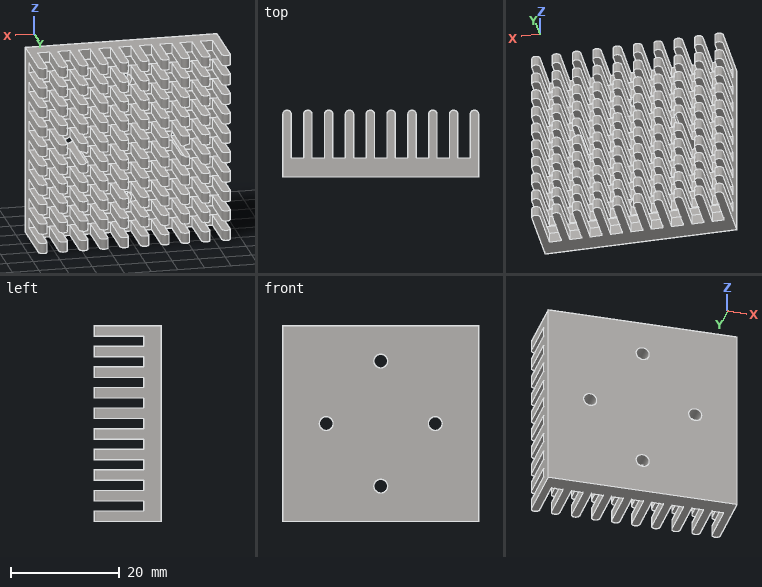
import cadquery as cq

side = 36.0
depth = 12.3

pins_per_side = 10
pin_width_x = 1.6
pin_width_z = 1.98
plate_at_x_gaps = 3.53
plate_at_z_gaps = 3.25

hole_diameter = 2.5
hole_offset_x = 10.0
hole_offset_z = 11.5

pitch_x = (side - pin_width_x) / (pins_per_side - 1)
pitch_z = (side - pin_width_z) / (pins_per_side - 1)
gap_z = pitch_z - pin_width_z
tip_radius = pin_width_x / 2
slot_count = pins_per_side - 1


def centred_positions(count, pitch):
    """Evenly spaced coordinates, symmetric about zero."""
    return [(i - (count - 1) / 2) * pitch for i in range(count)]


def plate():
    """Base plate with its mounting face on Y = 0."""
    return cq.Workplane("XY").box(side, plate_at_x_gaps, side, centered=(True, False, True))


def fin(x):
    """Full-height fin along Z with a fully rounded tip, standing on the mounting face."""
    left = x - tip_radius
    right = x + tip_radius
    shoulder = depth - tip_radius
    return (
        cq.Workplane("XY")
        .moveTo(left, 0)
        .lineTo(left, shoulder)
        .threePointArc((x, depth), (right, shoulder))
        .lineTo(right, 0)
        .close()
        .extrude(side / 2, both=True)
    )


def cross_slots():
    """Slots along X that divide the fins into pins."""
    slot_depth = depth - plate_at_z_gaps
    slot_middle = plate_at_z_gaps + slot_depth / 2
    slot_centres = [(0, slot_middle, z) for z in centred_positions(slot_count, pitch_z)]
    return cq.Workplane("XY").pushPoints(slot_centres).box(side, slot_depth, gap_z)


def mounting_holes():
    """Cylinders through the full depth, cutting the plate and any pins behind them."""
    centres = [
        (-hole_offset_x, 0),
        (hole_offset_x, 0),
        (0, -hole_offset_z),
        (0, hole_offset_z),
    ]
    return cq.Workplane("XZ").pushPoints(centres).circle(hole_diameter / 2).extrude(-depth)


result = plate()
for fin_x in centred_positions(pins_per_side, pitch_x):
    result = result.union(fin(fin_x))
result = result.cut(cross_slots()).cut(mounting_holes())